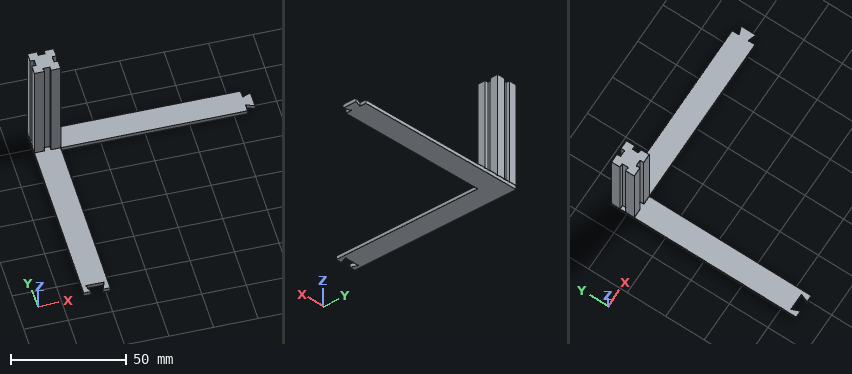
import cadquery as cq

length_x = 99.8
length_y = 96.1
height = 54.0

thickness = 2.0
width = 12.0
post_inset = 0.025
post_shift = 0.05
groove_width = 3.0
groove_depth = 1.9

joint_length = 3.9
plug_root = 5.0
plug_tip = 7.9
socket_mouth = 5.2
socket_inner = 8.1

middle = width / 2
post_width = width - 2 * post_inset
shoulder_x = length_x - joint_length
far_y = width - length_y


def make_plate():
    """L-shaped plate with a dovetail plug on +X and a matching socket on -Y."""
    x_arm = cq.Workplane("XY").box(shoulder_x, width, thickness, centered=False)
    y_arm = cq.Workplane("XY").box(width, length_y, thickness, centered=False).translate((0, far_y, 0))
    plug = (
        cq.Workplane("XY")
        .polyline([
            (shoulder_x, middle - plug_root / 2),
            (length_x, middle - plug_tip / 2),
            (length_x, middle + plug_tip / 2),
            (shoulder_x, middle + plug_root / 2),
        ])
        .close()
        .extrude(thickness)
    )
    socket = (
        cq.Workplane("XY")
        .polyline([
            (middle - socket_mouth / 2, far_y),
            (middle + socket_mouth / 2, far_y),
            (middle + socket_inner / 2, far_y + joint_length),
            (middle - socket_inner / 2, far_y + joint_length),
        ])
        .close()
        .extrude(thickness)
    )
    return x_arm.union(y_arm).union(plug).cut(socket)


def make_post():
    """Square post on the plate's corner, with a groove down each of its four sides."""
    post_height = height - thickness
    post = cq.Workplane("XY").box(post_width, post_width, post_height, centered=(True, True, False))
    groove = (
        cq.Workplane("XY")
        .box(groove_depth, groove_width, post_height, centered=(False, True, False))
        .translate((post_width / 2 - groove_depth, 0, 0))
    )
    for angle in (0, 90, 180, 270):
        post = post.cut(groove.rotate((0, 0, 0), (0, 0, 1), angle))
    return post.translate((middle, middle - post_shift, thickness))


result = make_plate().union(make_post())